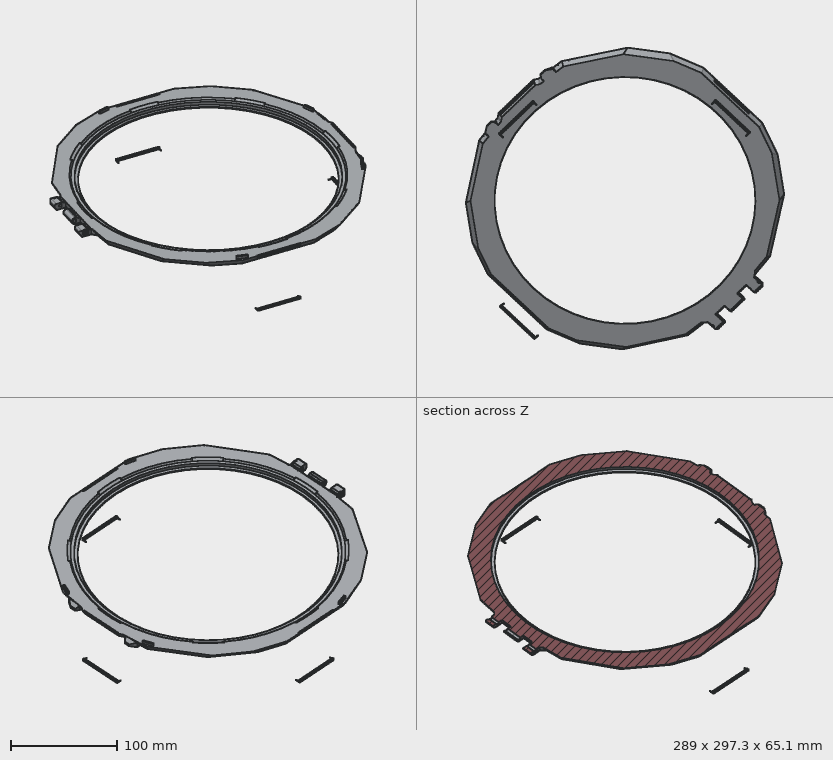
import cadquery as cq
import math

RING_HEIGHT = 6.2
WALL_DRAFT = 30.0
HALF_OUTLINE = [
    (31.2, -140.3),
    (55.3, -137.5),
    (108.5, -103.7),
    (132.2, -71.5),
    (144.5, -39.0),
    (144.5, 39.0),
    (132.2, 71.5),
    (108.5, 103.7),
    (55.3, 138.5),
    (27.3, 141.8),
    (23.5, 144.5),
]
CORNER_FACE_POINTS = [(132.2, 71.5), (108.5, 103.7)]
CORNER_FACE_INSET = 5.0
FLAT_DISTANCE = 144.5

BORE_DIAMETER = 245.5
BORE_LIP_HEIGHT = 1.2
STEP_DIAMETER = 252.3
LEDGE_HEIGHT = 4.5
RIM_BOTTOM_DIAMETER = 259.0
RIM_TOP_DIAMETER = 262.0
NOTCH_TOP_DIAMETER = 265.5
NOTCH_COUNT = 8
NOTCH_ANGLE = 12.8

SEAT_ANGLES = [0, 90, 180]
LIP_BOTTOM = 2.5
LIP_HEIGHT = 0.5
GROOVE_HEIGHT = 2.7
GROOVE_DEPTH = 1.8
SEAT_LENGTH = 45.8

CLIP_BOTTOM = -56.2
CLIP_THICKNESS = 1.8
CLIP_HEIGHT = 1.8
PRONG_LENGTH = 3.3
PRONG_WIDTH = 0.5
PRONG_HEIGHT = 0.3

POST_ANGLES = [-15, 68, 112, 195]
POST_RADIUS = 145.5
POST_LENGTH = 11.3
POST_WIDTH = 1.8
POST_HEIGHT = 2.7
POST_CHAMFER = 0.5

HINGE_FACE_Y = -141.0
HINGE_ROOT_Y = -135.5
HINGE_HALF_WIDTH = 31.2
HINGE_BASE_CHAMFER = 1.0
AXIS_Y = -146.5
AXIS_Z = 4.0
KNUCKLE_TOP = 7.0
NECK_TOP = 6.0
RAMP_START_Y = -143.0
RAMP_END_Y = -144.7
MIDDLE_KNUCKLE_WIDTH = 17.2
MIDDLE_HOLE_DIAMETER = 3.3
SIDE_KNUCKLE_WIDTH = 10.7
SIDE_KNUCKLE_END_Y = -152.8
SIDE_ROUNDING = 1.8
SIDE_HOLE_DIAMETER = 2.9
PIN_HEAD_RECESS_DIAMETER = 6.2
PIN_HEAD_RECESS_DEPTH = 1.2
SIDE_CHIN_WIDTH = 2.5
SIDE_CHIN_HEIGHT = 3.0
SIDE_CORNER_RADIUS = 2.0

LATCH_OUTLINE = [(30.5, 141.2), (32.7, 144.5), (39.0, 144.5), (45.2, 140.3), (45.2, 135.2), (30.5, 135.2)]
LATCH_ROOT_Y = 135.2
LATCH_SHOULDER_Y = 140.3
LATCH_SHOULDER_HEIGHT = 5.5
LATCH_TIP_HEIGHT = 2.5


def disc(diameter, bottom, top):
    return cq.Workplane("XY").workplane(offset=bottom).circle(diameter / 2).extrude(top - bottom)


def rim_cone(top_diameter, angle):
    """Cone frustum wedge between the ledge and the top face, starting at the +X axis."""
    return (
        cq.Workplane("XZ")
        .polyline(
            [
                (0, LEDGE_HEIGHT),
                (RIM_BOTTOM_DIAMETER / 2, LEDGE_HEIGHT),
                (top_diameter / 2, RING_HEIGHT),
                (0, RING_HEIGHT),
            ]
        )
        .close()
        .revolve(angle, (0, 0, 0), (0, 1, 0))
    )


def ring_plate():
    mirrored_half = [(-x, y) for x, y in reversed(HALF_OUTLINE)]
    return (
        cq.Workplane("XY")
        .workplane(offset=RING_HEIGHT)
        .polyline(HALF_OUTLINE + mirrored_half)
        .close()
        .extrude(-RING_HEIGHT, taper=WALL_DRAFT)
    )


def slope_corner_faces(ring):
    (start_x, start_y), (end_x, end_y) = CORNER_FACE_POINTS
    face_angle = math.atan2(start_x - end_x, end_y - start_y)
    distance = start_x * math.cos(face_angle) + start_y * math.sin(face_angle)
    wedge = (
        cq.Workplane("XZ")
        .polyline([(distance, RING_HEIGHT), (distance - CORNER_FACE_INSET, 0), (distance, 0)])
        .close()
        .extrude(FLAT_DISTANCE / 2, both=True)
    )
    degrees = math.degrees(face_angle)
    for angle in (degrees, 180 - degrees, 180 + degrees, -degrees):
        ring = ring.cut(wedge.rotate((0, 0, 0), (0, 0, 1), angle))
    return ring


def cut_opening(ring):
    ring = ring.cut(disc(BORE_DIAMETER, 0, RING_HEIGHT))
    ring = ring.cut(disc(STEP_DIAMETER, BORE_LIP_HEIGHT, RING_HEIGHT))
    ring = ring.cut(rim_cone(RIM_TOP_DIAMETER, 360))
    notch = rim_cone(NOTCH_TOP_DIAMETER, NOTCH_ANGLE)
    for index in range(NOTCH_COUNT):
        start_angle = index * 360 / NOTCH_COUNT - NOTCH_ANGLE / 2
        ring = ring.cut(notch.rotate((0, 0, 0), (0, 0, 1), start_angle))
    return ring


def flat_bar(depth, height, bottom):
    """Bar of seat length along the +X flat, flush with it and reaching inward by depth."""
    return cq.Workplane("XY").box(depth, SEAT_LENGTH, height, centered=(False, True, False)).translate(
        (FLAT_DISTANCE - depth, 0, bottom)
    )


def add_clip_seats(ring):
    lip = flat_bar(GROOVE_DEPTH, LIP_HEIGHT, LIP_BOTTOM)
    groove = flat_bar(GROOVE_DEPTH, GROOVE_HEIGHT, LIP_BOTTOM + LIP_HEIGHT)
    for angle in SEAT_ANGLES:
        ring = ring.union(lip.rotate((0, 0, 0), (0, 0, 1), angle))
        ring = ring.cut(groove.rotate((0, 0, 0), (0, 0, 1), angle))
    return ring


def add_posts(ring):
    post = (
        cq.Workplane("XY")
        .box(POST_WIDTH, POST_LENGTH, POST_HEIGHT, centered=(True, True, False))
        .edges("|X and >Z")
        .chamfer(POST_CHAMFER)
        .translate((POST_RADIUS, 0, RING_HEIGHT))
    )
    for angle in POST_ANGLES:
        ring = ring.union(post.rotate((0, 0, 0), (0, 0, 1), angle))
    return ring


def hinge_base():
    flank = HINGE_HALF_WIDTH + HINGE_ROOT_Y - HINGE_FACE_Y
    return (
        cq.Workplane("XY")
        .polyline(
            [
                (-flank, HINGE_ROOT_Y),
                (-HINGE_HALF_WIDTH, HINGE_FACE_Y),
                (HINGE_HALF_WIDTH, HINGE_FACE_Y),
                (flank, HINGE_ROOT_Y),
            ]
        )
        .close()
        .extrude(RING_HEIGHT)
        .faces("<Y")
        .edges("<Z")
        .chamfer(HINGE_BASE_CHAMFER)
    )


def knuckle_top(profile):
    """Finish a knuckle profile from its flat top down the ramp and back to the ring."""
    return (
        profile.lineTo(RAMP_END_Y, KNUCKLE_TOP)
        .lineTo(RAMP_START_Y, NECK_TOP)
        .lineTo(HINGE_ROOT_Y, NECK_TOP)
        .close()
    )


def middle_knuckle():
    radius = KNUCKLE_TOP - AXIS_Z
    diagonal = radius * math.sqrt(0.5)
    tangent_y = AXIS_Y - diagonal
    tangent_z = AXIS_Z - diagonal
    profile = (
        cq.Workplane("YZ")
        .moveTo(HINGE_ROOT_Y, 0)
        .lineTo(tangent_y + tangent_z, 0)
        .lineTo(tangent_y, tangent_z)
        .threePointArc((AXIS_Y - radius, AXIS_Z), (AXIS_Y, KNUCKLE_TOP))
    )
    return knuckle_top(profile).extrude(MIDDLE_KNUCKLE_WIDTH / 2, both=True)


def side_knuckle():
    """Knuckle at the +X end of the hinge, with its outer front corner rounded."""
    shoulder_y = SIDE_KNUCKLE_END_Y + SIDE_ROUNDING
    bend = SIDE_ROUNDING * math.sqrt(0.5)
    profile = (
        cq.Workplane("YZ")
        .workplane(offset=HINGE_HALF_WIDTH - SIDE_KNUCKLE_WIDTH)
        .moveTo(HINGE_ROOT_Y, 0)
        .lineTo(SIDE_KNUCKLE_END_Y + SIDE_CHIN_WIDTH, 0)
        .lineTo(SIDE_KNUCKLE_END_Y, SIDE_CHIN_HEIGHT)
        .lineTo(SIDE_KNUCKLE_END_Y, KNUCKLE_TOP - SIDE_ROUNDING)
        .threePointArc(
            (shoulder_y - bend, KNUCKLE_TOP - SIDE_ROUNDING + bend),
            (shoulder_y, KNUCKLE_TOP),
        )
    )
    rounded_plan = (
        cq.Workplane("XY")
        .box(SIDE_KNUCKLE_WIDTH, HINGE_ROOT_Y - SIDE_KNUCKLE_END_Y, KNUCKLE_TOP, centered=False)
        .edges("|Z and >X and <Y")
        .fillet(SIDE_CORNER_RADIUS)
        .translate((HINGE_HALF_WIDTH - SIDE_KNUCKLE_WIDTH, SIDE_KNUCKLE_END_Y, 0))
    )
    return knuckle_top(profile).extrude(SIDE_KNUCKLE_WIDTH).intersect(rounded_plan)


def hinge_hole(diameter, half_length):
    return (
        cq.Workplane("YZ").center(AXIS_Y, AXIS_Z).circle(diameter / 2).extrude(half_length, both=True)
    )


def add_hinge(ring):
    recess = (
        cq.Workplane("YZ")
        .workplane(offset=HINGE_HALF_WIDTH)
        .center(AXIS_Y, AXIS_Z)
        .circle(PIN_HEAD_RECESS_DIAMETER / 2)
        .extrude(-PIN_HEAD_RECESS_DEPTH)
    )
    right_knuckle = side_knuckle().cut(recess)
    ring = ring.union(hinge_base()).union(middle_knuckle())
    ring = ring.union(right_knuckle).union(right_knuckle.mirror("YZ"))
    ring = ring.cut(hinge_hole(SIDE_HOLE_DIAMETER, HINGE_HALF_WIDTH))
    return ring.cut(hinge_hole(MIDDLE_HOLE_DIAMETER, MIDDLE_KNUCKLE_WIDTH / 2))


def add_latches(ring):
    plan = cq.Workplane("XY").polyline(LATCH_OUTLINE).close().extrude(RING_HEIGHT)
    ramp = (
        cq.Workplane("YZ")
        .polyline(
            [
                (LATCH_ROOT_Y, 0),
                (FLAT_DISTANCE, 0),
                (FLAT_DISTANCE, LATCH_TIP_HEIGHT),
                (LATCH_SHOULDER_Y, LATCH_SHOULDER_HEIGHT),
                (LATCH_ROOT_Y, LATCH_SHOULDER_HEIGHT),
            ]
        )
        .close()
        .extrude(FLAT_DISTANCE)
    )
    latch = plan.intersect(ramp)
    return ring.union(latch).union(latch.mirror("YZ"))


def make_ring():
    ring = slope_corner_faces(ring_plate())
    ring = cut_opening(ring)
    ring = add_clip_seats(ring)
    ring = add_posts(ring)
    ring = add_hinge(ring)
    return add_latches(ring)


def make_clip(angle):
    clip = flat_bar(CLIP_THICKNESS, CLIP_HEIGHT, CLIP_BOTTOM)
    prong = cq.Workplane("XY").box(PRONG_LENGTH, PRONG_WIDTH, PRONG_HEIGHT, centered=(False, True, False))
    prong_x = FLAT_DISTANCE - CLIP_THICKNESS - PRONG_LENGTH
    prong_y = (SEAT_LENGTH - PRONG_WIDTH) / 2
    for side in (-1, 1):
        clip = clip.union(prong.translate((prong_x, side * prong_y, CLIP_BOTTOM)))
    return clip.rotate((0, 0, 0), (0, 0, 1), angle)


ring = make_ring()
clips = [make_clip(angle) for angle in SEAT_ANGLES]
result = cq.Compound.makeCompound([ring.solids().val(), *[clip.solids().val() for clip in clips]])